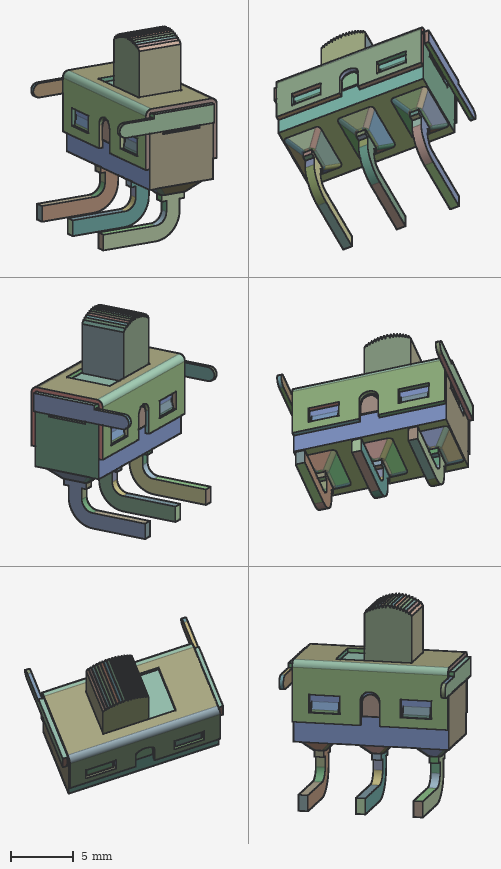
import cadquery as cq
import math


housing_length = 12.71
housing_width = 5.9
housing_height = 5.99

sheet = 0.35
bend_inside_radius = 0.15
bend_outside_radius = 0.53
cover_width = housing_width + 2 * sheet
cover_bottom = 1.7
bracket_top = housing_height + sheet
cover_top = bracket_top + sheet

slot_length = 6.15
slot_width = 4.02

window_offset = 3.74
window_length = 2.54
window_bottom = 2.51
window_top = 3.98
wedge_length = 2.23
wedge_top = 3.38
wedge_edge = 2.75
wedge_height = 0.16

notch_radius = 0.8
notch_top = 4.45
pad_radius = 0.73
pad_top = 4.2
pad_bottom = 2.38
pad_height = 0.11

bracket_length = 13.57
bracket_width = housing_width - 2 * bend_inside_radius
arm_bottom = 4.81
arm_reach = 5.99
arm_tip_radius = (housing_height - arm_bottom) / 2

end_notch_width = 3.37
end_notch_bottom = 4.44
end_notch_depth = 0.35

slider_length = 3.87
slider_width = 3.87
slider_x = (slot_length - slider_length) / 2
slider_top = 11.4
slider_shoulder = 10.5
ridge_count_per_side = 7
ridge_pitch_angle = 5.4
ridge_radius = 2.87
groove_radius = 3.65
groove_top = 11.09
groove_position = 0.73

overall_height = 16.19
terminal_pitch = 4.7
terminal_count = 3
terminal_thickness = 0.78
terminal_width = 1.23
terminal_foot_height = 1.31
terminal_bottom = slider_top - overall_height
terminal_reach = 6.48
bend_radius = 1.0
collar_width = 2.07
collar_bottom = -1.59
boss_length = 3.17
boss_width = 4.44
boss_height = 1.05
boss_taper = 45
boss_side_rounding = 0.5
boss_bottom_rounding = 0.29

terminal_xs = [(i - (terminal_count - 1) / 2) * terminal_pitch for i in range(terminal_count)]


def box(x_range, y_range, z_range):
    """Box between two limits along each axis."""
    (x0, x1), (y0, y1), (z0, z1) = x_range, y_range, z_range
    return cq.Workplane("XY").box(x1 - x0, y1 - y0, z1 - z0, centered=False).translate((x0, y0, z0))


def centred(size):
    """Limits of a length centred on zero."""
    return (-size / 2, size / 2)


def arch(radius, bottom, top, depth):
    """Upright round-topped block, `depth` deep on both sides of the XZ plane."""
    return (
        cq.Workplane("XZ")
        .moveTo(-radius, bottom)
        .lineTo(radius, bottom)
        .lineTo(radius, top - radius)
        .threePointArc((0, top), (-radius, top - radius))
        .close()
        .extrude(depth, both=True)
    )


def make_terminal(x):
    """Flat terminal: collar below the housing, then a round bend toward -Y."""
    half = terminal_width / 2
    foot_top = terminal_bottom + terminal_foot_height
    bend_y = -half - bend_radius
    bend_z = foot_top + bend_radius
    outer_bend_y = half - bend_y
    outer_bend_z = bend_z - terminal_bottom
    diagonal = math.sqrt(0.5)
    blade = (
        cq.Workplane("YZ")
        .moveTo(-collar_width / 2, 0)
        .lineTo(-collar_width / 2, collar_bottom)
        .lineTo(-half, collar_bottom)
        .lineTo(-half, bend_z)
        .threePointArc(
            (bend_y + bend_radius * diagonal, bend_z - bend_radius * diagonal), (bend_y, foot_top)
        )
        .lineTo(-terminal_reach, foot_top)
        .lineTo(-terminal_reach, terminal_bottom)
        .lineTo(bend_y, terminal_bottom)
        .threePointArc(
            (bend_y + outer_bend_y * diagonal, bend_z - outer_bend_z * diagonal), (half, bend_z)
        )
        .lineTo(half, collar_bottom)
        .lineTo(collar_width / 2, collar_bottom)
        .lineTo(collar_width / 2, 0)
        .close()
        .extrude(terminal_thickness / 2, both=True)
    )
    return blade.translate((x, 0, 0))


def make_boss(x):
    """Tapered boss hanging below the housing, rounded on its slanted and lower edges."""
    boss = (
        cq.Workplane("XY")
        .rect(boss_length, boss_width)
        .extrude(-boss_height, taper=boss_taper)
        .edges("not #Z")
        .fillet(boss_side_rounding)
        .faces("<Z")
        .edges()
        .fillet(boss_bottom_rounding)
    )
    return boss.translate((x, 0, 0))


def make_wedge(x):
    """Snap wedge on the -Y face: a ramp that rises downward to a straight lower block."""
    face = -housing_width / 2
    return (
        cq.Workplane("YZ")
        .moveTo(0, window_bottom)
        .lineTo(face - wedge_height, window_bottom)
        .lineTo(face - wedge_height, wedge_edge)
        .lineTo(face, wedge_top)
        .lineTo(0, wedge_top)
        .close()
        .extrude(wedge_length / 2, both=True)
        .translate((x, 0, 0))
    )


def make_housing(terminals):
    body = box(centred(housing_length), centred(housing_width), (0, housing_height))
    end_notch = box((0, end_notch_depth), centred(end_notch_width), (end_notch_bottom, housing_height))
    body = body.cut(end_notch.translate((-housing_length / 2, 0, 0)))
    body = body.cut(end_notch.translate((housing_length / 2 - end_notch_depth, 0, 0)))
    pad = arch(pad_radius, pad_bottom, pad_top, pad_height)
    for side in (-1, 1):
        body = body.union(pad.translate((0, side * housing_width / 2, 0)))
    for x in (-window_offset, window_offset):
        wedge = make_wedge(x)
        body = body.union(wedge).union(wedge.mirror("XZ"))
    for x in terminal_xs:
        body = body.union(make_boss(x))
    for terminal in terminals:
        body = body.cut(terminal)
    return body


def make_cover():
    outside = box(centred(housing_length), centred(cover_width), (cover_bottom, cover_top))
    outside = outside.edges("|X and >Z").fillet(bend_outside_radius)
    inside = box(centred(housing_length), centred(housing_width), (cover_bottom, bracket_top))
    inside = inside.edges("|X and >Z").fillet(bend_inside_radius)
    cover = outside.cut(inside)
    cover = cover.cut(box(centred(slot_length), centred(slot_width), (bracket_top, cover_top)))
    cover = cover.cut(arch(notch_radius, cover_bottom, notch_top, cover_width))
    window = box(centred(window_length), centred(cover_width), (window_bottom, window_top))
    for x in (-window_offset, window_offset):
        cover = cover.cut(window.translate((x, 0, 0)))
    return cover


def make_bracket():
    plate = box(centred(bracket_length), centred(bracket_width), (housing_height, bracket_top))
    arm = (
        cq.Workplane("YZ")
        .moveTo(bracket_width / 2, arm_bottom)
        .lineTo(bracket_width / 2, housing_height)
        .lineTo(arm_tip_radius - arm_reach, housing_height)
        .threePointArc(
            (-arm_reach, arm_bottom + arm_tip_radius), (arm_tip_radius - arm_reach, arm_bottom)
        )
        .close()
        .extrude(sheet)
    )
    plate = plate.union(arm.translate((-bracket_length / 2, 0, 0)))
    return plate.union(arm.translate((bracket_length / 2 - sheet, 0, 0)))


def crown_point(position, radius, top):
    """Point on a crown arc that peaks at `top`, at a position counted in ridge pitches."""
    x = ridge_radius * math.sin(math.radians(position * ridge_pitch_angle))
    return (x, top - radius + math.sqrt(radius**2 - x**2))


def make_slider():
    """Block with a crowned top of ridges whose steep flanks face the middle."""
    right_side = []
    for i in range(1, ridge_count_per_side + 1):
        right_side.append(crown_point(i - 1 + groove_position, groove_radius, groove_top))
        right_side.append(crown_point(i, ridge_radius, slider_top))
    left_side = [(-x, z) for x, z in reversed(right_side)]
    half = slider_length / 2
    outline = [(half, bracket_top), (-half, bracket_top), (-half, slider_shoulder)]
    outline += left_side + [(0, slider_top)] + right_side + [(half, slider_shoulder)]
    slider = cq.Workplane("XZ").polyline(outline).close().extrude(slider_width / 2, both=True)
    return slider.translate((slider_x, 0, 0))


terminals = [make_terminal(x) for x in terminal_xs]
housing = make_housing(terminals)
cover = make_cover()
bracket = make_bracket()
slider = make_slider()

result = cq.Compound.makeCompound(
    [housing.val(), cover.val(), bracket.val(), slider.val(), *[t.val() for t in terminals]]
)